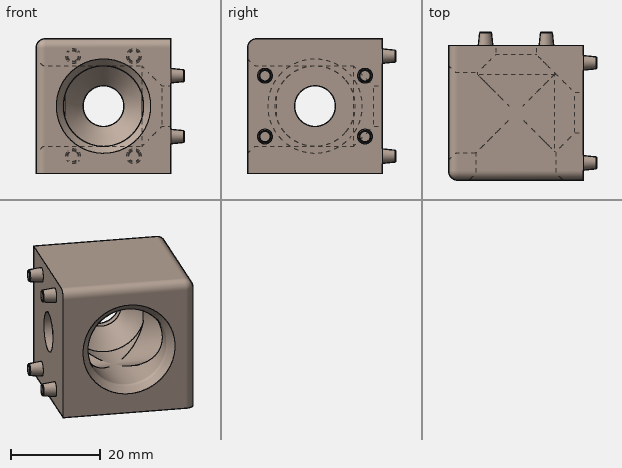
import cadquery as cq
import math

block_size = 30.0
half = block_size / 2
edge_radius = 2.0

mouth_radius = 10.5
wall_radius = 8.95
outlet_radius = 4.505
lip_radius = 1.0
outlet_cone_end = 13.0

pin_length = 3.0
pin_root_radius = 1.65
pin_root_embed = 0.33
pin_tip_radius = 1.35
pin_tip_chamfer = 0.2
narrow_pin_spacing = 13.53
wide_pin_spacing = 22.25


def revolve_about_y(outline):
    """Revolve a closed outline, drawn as (radius, y), about the Y axis."""
    return outline.revolve(360, (0, 0, 0), (0, 1, 0))


def to_x_axis(solid):
    """Swap the X and Y axes by a quarter turn and a mirror."""
    return solid.rotate((0, 0, 0), (0, 0, 1), -90).mirror("XZ")


def bore_along_y():
    """Chamfered mouth at -Y, wide bore, 45 degree cone and narrow outlet at +Y."""
    centre_radius = wall_radius + lip_radius
    chamfer_end_radius = centre_radius - lip_radius * math.cos(math.radians(45))
    chamfer_end = -half + mouth_radius - chamfer_end_radius
    lip_end = chamfer_end + lip_radius * math.sin(math.radians(45))
    lip_middle = (
        centre_radius - lip_radius * math.cos(math.radians(22.5)),
        lip_end - lip_radius * math.sin(math.radians(22.5)),
    )
    cone_start = outlet_cone_end - (wall_radius - outlet_radius)
    outline = (
        cq.Workplane("XY")
        .moveTo(0, -half)
        .lineTo(mouth_radius, -half)
        .lineTo(chamfer_end_radius, chamfer_end)
        .threePointArc(lip_middle, (wall_radius, lip_end))
        .lineTo(wall_radius, cone_start)
        .lineTo(outlet_radius, outlet_cone_end)
        .lineTo(outlet_radius, half)
        .lineTo(0, half)
        .close()
    )
    return revolve_about_y(outline)


def pin_along_y():
    """Tapered pin with a chamfered tip, standing on the plane y = 0."""
    outline = cq.Workplane("XY").polyline([
        (0, -pin_root_embed),
        (pin_root_radius, -pin_root_embed),
        (pin_root_radius, 0),
        (pin_tip_radius, pin_length - pin_tip_chamfer),
        (pin_tip_radius - pin_tip_chamfer, pin_length),
        (0, pin_length),
    ]).close()
    return revolve_about_y(outline)


block = cq.Workplane("XY").box(block_size, block_size, block_size)
block = block.edges("(<X and <Y) or (<X and >Z) or (<Y and >Z)").fillet(edge_radius)

bore = bore_along_y()
block = block.cut(bore).cut(to_x_axis(bore))

pin = pin_along_y()
for side in (-1, 1):
    for up in (-1, 1):
        y_pin = pin.translate((side * narrow_pin_spacing / 2, half, up * wide_pin_spacing / 2))
        x_pin = to_x_axis(pin).translate((half, side * wide_pin_spacing / 2, up * narrow_pin_spacing / 2))
        block = block.union(y_pin).union(x_pin)

result = block